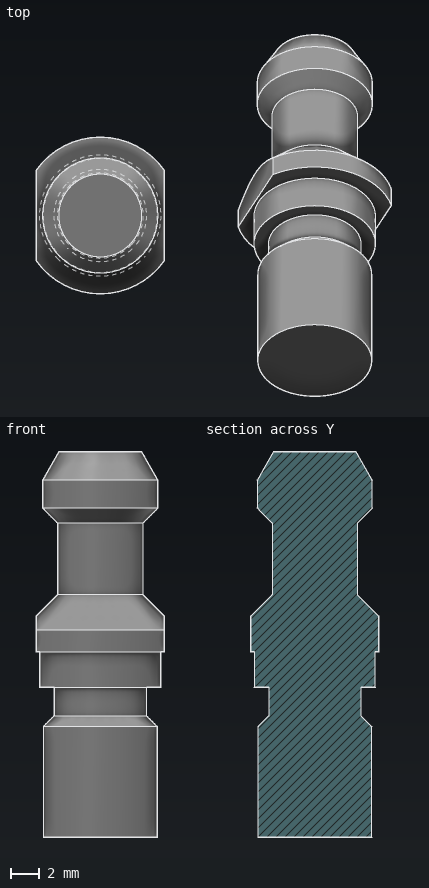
import cadquery as cq

shank_diameter = 8.0
undercut_diameter = 6.48
collar_diameter = 8.5
flange_diameter = 11.0
neck_diameter = 6.0
head_diameter = 8.07
tip_diameter = 5.8
flats_width = 9.0

total_height = 27.0
shank_top = 7.75
undercut_bottom = shank_top + (shank_diameter - undercut_diameter) / 2
collar_bottom = 10.5
flange_bottom = 13.0
flange_rim_top = 14.5
neck_bottom = flange_rim_top + (flange_diameter - neck_diameter) / 2
neck_top = 22.0
head_bottom = neck_top + (head_diameter - neck_diameter) / 2
head_top = 25.0

profile = [
    (shank_diameter, 0),
    (shank_diameter, shank_top),
    (undercut_diameter, undercut_bottom),
    (undercut_diameter, collar_bottom),
    (collar_diameter, collar_bottom),
    (collar_diameter, flange_bottom),
    (flange_diameter, flange_bottom),
    (flange_diameter, flange_rim_top),
    (neck_diameter, neck_bottom),
    (neck_diameter, neck_top),
    (head_diameter, head_bottom),
    (head_diameter, head_top),
    (tip_diameter, total_height),
]
outline = [(0, 0)]
outline += [(diameter / 2, height) for diameter, height in profile]
outline += [(0, total_height)]
stud = cq.Workplane("XZ").polyline(outline).close().revolve(360, (0, 0, 0), (0, 1, 0))

flats_envelope = cq.Workplane("XY").box(
    flats_width, flange_diameter * 2, total_height, centered=(True, True, False)
)
result = stud.intersect(flats_envelope)